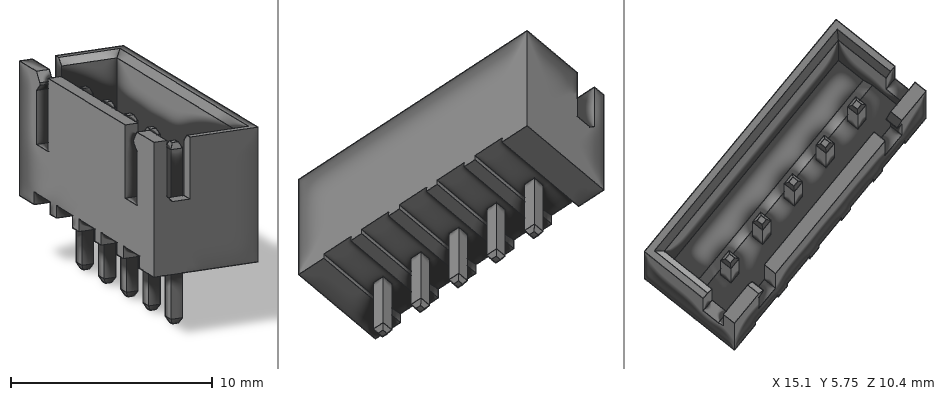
import cadquery as cq

length = 15.1
depth = 5.75
height = 7.0
side_wall = 0.7
front_wall = 0.71
back_wall = 0.71
rim_chamfer = 0.35

floor_z = 2.0
low_floor_z = 1.4
floor_step_y = 2.87

pin_count = 5
pin_row_span = 10.0
pin_y = 2.35
pin_width = 0.65
pin_tip_width = 0.33
pin_tip_length = 0.3
pin_top_z = 6.02
pin_bottom_z = -3.4

slot_outer_x = 5.63
slot_inner_x = 4.32
slot_floor_z = 3.2
nib_reach = 0.36
nib_top_z = 6.51
nib_bottom_z = 6.37

notch_back_y = 2.0
notch_floor_z = 3.79
notch_chamfer = 0.32

channel_width = 1.78
channel_front_z = 0.65
channel_z = 0.3
channel_slope_depth = 1.84

cavity_half_length = length / 2 - side_wall
cavity_back_y = depth - back_wall
pin_pitch = pin_row_span / (pin_count - 1)
pin_positions = [i * pin_pitch - pin_row_span / 2 for i in range(pin_count)]


def extrude_along_x(points, width):
    """A prism with a (Y, Z) outline, centred on X = 0."""
    return cq.Workplane("YZ").polyline(points).close().extrude(width / 2, both=True)


def extrude_along_y(points, y_length):
    """A prism with an (X, Z) outline, running back from Y = 0."""
    return cq.Workplane("XZ").polyline(points).close().extrude(-y_length)


def make_blank():
    return cq.Workplane("XY").box(length, depth, height, centered=(True, False, False))


def make_cavity():
    """The space inside the walls, down to the stepped floor."""
    slope_end_y = floor_step_y + floor_z - low_floor_z
    outline = [
        (front_wall, height),
        (front_wall, floor_z),
        (floor_step_y, floor_z),
        (slope_end_y, low_floor_z),
        (cavity_back_y, low_floor_z),
        (cavity_back_y, height),
    ]
    return extrude_along_x(outline, 2 * cavity_half_length)


def make_rim_flare():
    """The flared mouth that chamfers the rim of the end walls and the back wall, mitred where they meet."""
    flare_z = height - rim_chamfer
    flared_half_length = cavity_half_length + rim_chamfer
    end_outline = [
        (-cavity_half_length, flare_z),
        (cavity_half_length, flare_z),
        (flared_half_length, height),
        (-flared_half_length, height),
    ]
    back_outline = [
        (front_wall, flare_z),
        (cavity_back_y, flare_z),
        (cavity_back_y + rim_chamfer, height),
        (front_wall, height),
    ]
    return extrude_along_y(end_outline, depth).intersect(extrude_along_x(back_outline, length))


def make_latch_slot():
    """The slot on the +X side."""
    nib_x = slot_outer_x - nib_reach
    outline = [
        (slot_inner_x, slot_floor_z),
        (slot_outer_x, slot_floor_z),
        (slot_outer_x, nib_bottom_z - nib_reach),
        (nib_x, nib_bottom_z),
        (nib_x, nib_top_z),
        (slot_outer_x, height),
        (slot_inner_x, height),
    ]
    return extrude_along_y(outline, front_wall)


def make_end_notches():
    """One cutter that opens both end walls, with a sloped corner at the front of its floor."""
    outline = [
        (notch_back_y, height),
        (notch_back_y, notch_floor_z),
        (front_wall + notch_chamfer, notch_floor_z),
        (front_wall, notch_floor_z + notch_chamfer),
        (front_wall, height),
    ]
    return extrude_along_x(outline, length)


def make_channel(x):
    outline = [
        (0, 0),
        (0, channel_front_z),
        (channel_slope_depth, channel_z),
        (depth, channel_z),
        (depth, 0),
    ]
    return extrude_along_x(outline, channel_width).translate((x, 0, 0))


def make_pin(x):
    """A square post, formed where two crossing prisms with the same tapered outline overlap."""
    half_width = pin_width / 2
    half_tip = pin_tip_width / 2
    outline = [
        (-half_tip, pin_bottom_z),
        (half_tip, pin_bottom_z),
        (half_width, pin_bottom_z + pin_tip_length),
        (half_width, pin_top_z - pin_tip_length),
        (half_tip, pin_top_z),
        (-half_tip, pin_top_z),
        (-half_width, pin_top_z - pin_tip_length),
        (-half_width, pin_bottom_z + pin_tip_length),
    ]
    along_x = extrude_along_x(outline, pin_width)
    along_y = extrude_along_y(outline, pin_width).translate((0, -half_width, 0))
    return along_x.intersect(along_y).translate((x, pin_y, 0))


def make_housing():
    housing = make_blank().cut(make_cavity()).cut(make_rim_flare()).cut(make_end_notches())
    latch_slot = make_latch_slot()
    housing = housing.cut(latch_slot).cut(latch_slot.mirror("YZ"))
    for x in pin_positions:
        housing = housing.cut(make_channel(x)).cut(make_pin(x))
    return housing


housing = make_housing()
pins = [make_pin(x) for x in pin_positions]

result = cq.Compound.makeCompound([housing.val(), *[pin.val() for pin in pins]])